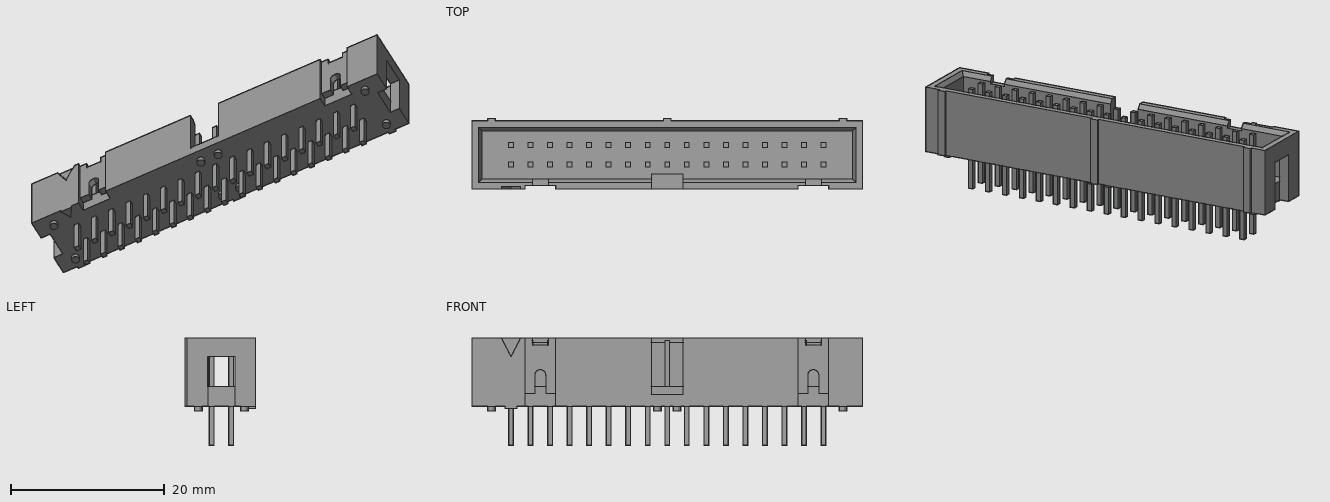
import cadquery as cq


length = 50.8
depth = 8.9
height = 8.9
front_y = -depth / 2
back_y = depth / 2
wall = 1.3
floor_height = 2.6
rim_chamfer_run = 0.45
rim_chamfer_drop = 0.6

pins_per_row = 17
pin_pitch = 2.55
pin_size = 0.64
pin_below = 5.1
pin_top_gap = 0.3

key_width = 4.1
key_depth = 2.0
key_sill = 1.5

latch_centers = (-16.5, 19.0)
latch_width = 3.95
latch_recess = 0.45
rim_notch_width = 2.1
rim_notch_drop = 0.9
arch_width = 1.4
arch_top = 4.8
foot_relief_height = 1.7

window_width = 3.5
window_top = 6.45

rib_width = 1.0
rib_projection = 0.3
rib_spacing = 22.85

peg_diameter = 1.0
peg_height = 0.6
peg_row_y = 3.0
peg_inner_x = 1.25
peg_outer_x = rib_spacing

pin_one_x = -pin_pitch * (pins_per_row - 1) / 2
arrow_width = 2.5
arrow_length = 2.45
arrow_depth = 0.3
foot_mark_width = 1.6
foot_mark_depth = 1.35
foot_mark_height = 0.3


def block(x_range, y_range, z_range):
    """Axis-aligned box given by its lower and upper limits along each axis."""
    (x0, x1), (y0, y1), (z0, z1) = x_range, y_range, z_range
    return cq.Workplane("XY").box(x1 - x0, y1 - y0, z1 - z0, centered=False).translate((x0, y0, z0))


def span(center, width):
    return center - width / 2, center + width / 2


def open_box():
    """Housing with its cavity, whose mouth flares out at the rim."""
    shell = cq.Workplane("XY").box(length, depth, height, centered=(True, True, False))
    cavity_x = length - 2 * wall
    cavity_y = depth - 2 * wall
    cavity = (
        cq.Workplane("XY")
        .workplane(offset=floor_height)
        .rect(cavity_x, cavity_y)
        .extrude(height - floor_height)
    )
    flare = (
        cq.Workplane("XY")
        .workplane(offset=height - rim_chamfer_drop)
        .rect(cavity_x, cavity_y)
        .workplane(offset=rim_chamfer_drop)
        .rect(cavity_x + 2 * rim_chamfer_run, cavity_y + 2 * rim_chamfer_run)
        .loft(ruled=True)
    )
    return shell.cut(cavity).cut(flare)


def key_slot():
    return block(span(0, key_width), (front_y, front_y + key_depth), (key_sill, height))


def latch_cut(center):
    """Shallow recess, rim notch, arched opening and foot relief of one latch station."""
    through_wall = (front_y, front_y + wall)
    recess = block(span(center, latch_width), (front_y, front_y + latch_recess), (0, height))
    notch = block(span(center, rim_notch_width), through_wall, (height - rim_notch_drop, height))
    relief = block(span(center, latch_width), through_wall, (0, foot_relief_height))
    arch_radius = arch_width / 2
    arch_spring = arch_top - arch_radius
    arch = (
        cq.Workplane("XZ", origin=(center, front_y, 0))
        .moveTo(-arch_radius, 0)
        .lineTo(-arch_radius, arch_spring)
        .threePointArc((0, arch_top), (arch_radius, arch_spring))
        .lineTo(arch_radius, 0)
        .close()
        .extrude(-wall)
    )
    return recess.union(notch).union(relief).union(arch)


def end_window(side):
    """Notch through an end wall, open at the bottom and backed there by the floor."""
    wall_center = side * (length - wall) / 2
    return block(span(wall_center, wall), span(0, window_width), (0, window_top))


def pin_one_arrow():
    """Engraved triangle on the front face, pointing down at the first pin."""
    return (
        cq.Workplane("XZ", origin=(pin_one_x, front_y, height))
        .polyline([(-arrow_width / 2, 0), (arrow_width / 2, 0), (0, -arrow_length)])
        .close()
        .extrude(-arrow_depth)
    )


def pin_one_foot():
    """Small raised triangle under the front edge, pointing inward below the arrow."""
    return (
        cq.Workplane("XY", origin=(pin_one_x, front_y, 0))
        .polyline([(-foot_mark_width / 2, 0), (foot_mark_width / 2, 0), (0, foot_mark_depth)])
        .close()
        .extrude(-foot_mark_height)
    )


def back_rib(center):
    return block(span(center, rib_width), (back_y, back_y + rib_projection), (0, height))


def standoff_pegs():
    places = [
        (x, y)
        for x in (-peg_outer_x, -peg_inner_x, peg_inner_x, peg_outer_x)
        for y in (-peg_row_y, peg_row_y)
    ]
    return cq.Workplane("XY").pushPoints(places).circle(peg_diameter / 2).extrude(-peg_height)


def pins():
    pin_length = height - pin_top_gap + pin_below
    return (
        cq.Workplane("XY")
        .workplane(offset=-pin_below)
        .rarray(pin_pitch, pin_pitch, pins_per_row, 2)
        .rect(pin_size, pin_size)
        .extrude(pin_length)
    )


housing = open_box().cut(key_slot()).cut(pin_one_arrow())
for latch_center in latch_centers:
    housing = housing.cut(latch_cut(latch_center))
for end in (-1, 1):
    housing = housing.cut(end_window(end))
for rib_center in (-rib_spacing, 0, rib_spacing):
    housing = housing.union(back_rib(rib_center))

result = housing.union(standoff_pegs()).union(pin_one_foot()).union(pins())